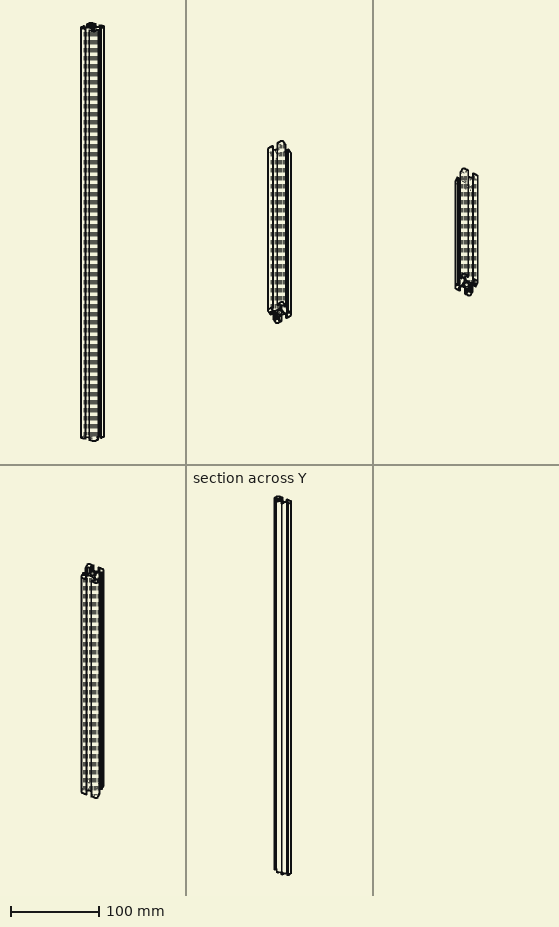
import cadquery as cq
import math

SIDE = 20.0
LENGTH = 500.0
CORNER_RADIUS = 2.0

SLOT_OPENING = 6.2
SLOT_DEPTH = 6.0
LIP_THICKNESS = 1.5
CAVITY_WIDTH = 10.5
FLOOR_FILLET = 2.0

RIB_THICKNESS = 1.5

BORE_DIAMETER = 5.2

HALF_SIDE = SIDE / 2
SLOT_COUNT = 4
SLOT_ANGLE = 360 / SLOT_COUNT


def make_bar():
    """Solid square bar with rounded long edges, centred on the Z axis."""
    bar = cq.Workplane("XY").rect(SIDE, SIDE).extrude(LENGTH)
    return bar.edges("|Z").fillet(CORNER_RADIUS)


def make_bore():
    """Round bore running the full length."""
    return cq.Workplane("XY").circle(BORE_DIAMETER / 2).extrude(LENGTH)


def make_slot():
    """T-slot in the +Y side: narrow opening, wide cavity, 45 degree rib walls, filleted flat floor."""
    half_opening = SLOT_OPENING / 2
    half_cavity = CAVITY_WIDTH / 2
    lip_y = HALF_SIDE - LIP_THICKNESS
    floor_y = HALF_SIDE - SLOT_DEPTH
    rib_offset = RIB_THICKNESS / 2 * math.sqrt(2)
    shoulder_y = half_cavity + rib_offset
    half_floor = floor_y - rib_offset
    right_side = [
        (half_floor, floor_y),
        (half_cavity, shoulder_y),
        (half_cavity, lip_y),
        (half_opening, lip_y),
        (half_opening, HALF_SIDE),
    ]
    left_side = [(-x, y) for x, y in reversed(right_side)]
    slot = cq.Workplane("XY").polyline(right_side + left_side).close().extrude(LENGTH)
    return slot.faces("<Y").edges("|Z").fillet(FLOOR_FILLET)


result = make_bar().cut(make_bore())
slot_cutter = make_slot()
for index in range(SLOT_COUNT):
    result = result.cut(slot_cutter.rotate((0, 0, 0), (0, 0, 1), index * SLOT_ANGLE))